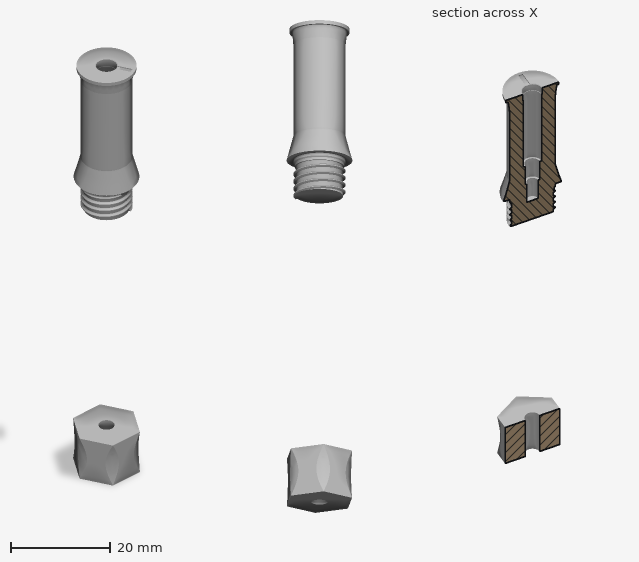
import cadquery as cq

overall_height = 99.9

nut_height = 10.0
nut_corner_diameter = 14.26
nut_hole_diameter = 3.25
corner_relief_depth = 0.65
relief_cutter_margin = 1.0

sleeve_length = 35.25
flange_thickness = 0.75
flare_end_depth = 3.35
collar_start_depth = 22.6
collar_end_depth = 27.75
upper_neck_end_depth = 28.3
neck_chamfer_height = 0.25
lower_neck_end_depth = 29.1

flange_diameter = 12.1
flare_diameter = 11.1
shank_diameter = 10.5
collar_diameter = 13.24
upper_neck_diameter = 10.5
lower_neck_diameter = 10.0
thread_root_diameter = 9.5
thread_crest_diameter = 10.5

mouth_diameter = 4.5
bore_steps = [
    (4.25, 1.75),
    (4.0, 20.0),
    (3.25, 25.0),
    (2.4, 30.0),
]

mark_width = 1.0
mark_depth = 0.2
mark_end_radius = 5.35

thread_pitch = 1.5
thread_turns = 3.9
thread_base_width = 0.9
thread_crest_width = 0.15
thread_root_overlap = 0.2

sleeve_top = overall_height
sleeve_bottom = sleeve_top - sleeve_length


def make_nut():
    """Hexagonal nut with concave turned reliefs across its upright corners and a through hole."""
    corner_radius = nut_corner_diameter / 2
    waist_radius = corner_radius - corner_relief_depth
    outside_radius = corner_radius + relief_cutter_margin
    hexagon = cq.Workplane("XY").polygon(6, nut_corner_diameter).extrude(nut_height)
    relief = (
        cq.Workplane("XZ")
        .moveTo(corner_radius, 0)
        .threePointArc((waist_radius, nut_height / 2), (corner_radius, nut_height))
        .lineTo(outside_radius, nut_height)
        .lineTo(outside_radius, 0)
        .close()
        .revolve(360, (0, 0, 0), (0, 1, 0))
    )
    hole = cq.Workplane("XY").circle(nut_hole_diameter / 2).extrude(nut_height)
    return hexagon.cut(relief).cut(hole)


def make_sleeve_body():
    """Turned outside of the sleeve: flange, flare, shank, collar, neck and thread root."""
    profile = [
        (flange_diameter, 0),
        (flange_diameter, flange_thickness),
        (flare_diameter, flange_thickness),
        (shank_diameter, flare_end_depth),
        (shank_diameter, collar_start_depth),
        (collar_diameter, collar_end_depth),
        (upper_neck_diameter, collar_end_depth),
        (upper_neck_diameter, upper_neck_end_depth),
        (lower_neck_diameter, upper_neck_end_depth + neck_chamfer_height),
        (lower_neck_diameter, lower_neck_end_depth),
        (thread_root_diameter, lower_neck_end_depth),
        (thread_root_diameter, sleeve_length),
    ]
    outline = cq.Workplane("XZ").moveTo(0, sleeve_top)
    for diameter, depth in profile:
        outline = outline.lineTo(diameter / 2, sleeve_top - depth)
    return outline.lineTo(0, sleeve_bottom).close().revolve(360, (0, 0, 0), (0, 1, 0))


def make_thread():
    """Right-hand helical ridge that starts on the +X side at the bottom of the sleeve."""
    root_radius = thread_root_diameter / 2
    inner_radius = root_radius - thread_root_overlap
    crest_radius = thread_crest_diameter / 2
    half_base = thread_base_width / 2
    half_crest = thread_crest_width / 2
    path = cq.Wire.makeHelix(thread_pitch, thread_pitch * thread_turns, root_radius)
    ridge = (
        cq.Workplane("XZ")
        .polyline([
            (inner_radius, -half_base),
            (crest_radius, -half_crest),
            (crest_radius, half_crest),
            (inner_radius, half_base),
        ])
        .close()
        .sweep(cq.Workplane(path), isFrenet=True)
    )
    below_end = (
        cq.Workplane("XY")
        .circle(thread_crest_diameter)
        .extrude(-thread_pitch)
    )
    return ridge.cut(below_end).translate((0, 0, sleeve_bottom))


def make_bore():
    """Blind bore that narrows in steps below its chamfered mouth."""
    first_diameter, _ = bore_steps[0]
    chamfer_depth = (mouth_diameter - first_diameter) / 2
    outline = (
        cq.Workplane("XZ")
        .moveTo(0, sleeve_top)
        .lineTo(mouth_diameter / 2, sleeve_top)
    )
    depth = chamfer_depth
    for diameter, step_depth in bore_steps:
        outline = outline.lineTo(diameter / 2, sleeve_top - depth)
        outline = outline.lineTo(diameter / 2, sleeve_top - step_depth)
        depth = step_depth
    return outline.lineTo(0, sleeve_top - depth).close().revolve(360, (0, 0, 0), (0, 1, 0))


def make_index_mark():
    """Shallow radial groove from the bore towards the rim on the +X side."""
    return (
        cq.Workplane("XY", origin=(0, 0, sleeve_top))
        .rect(mark_end_radius, mark_width)
        .extrude(-mark_depth)
        .translate((mark_end_radius / 2, 0, 0))
    )


def make_sleeve():
    """Complete sleeve: turned body with thread, bore and index mark."""
    sleeve = make_sleeve_body().union(make_thread())
    return sleeve.cut(make_bore()).cut(make_index_mark())


nut = make_nut()
sleeve = make_sleeve()
result = cq.Compound.makeCompound([nut.val(), sleeve.val()])